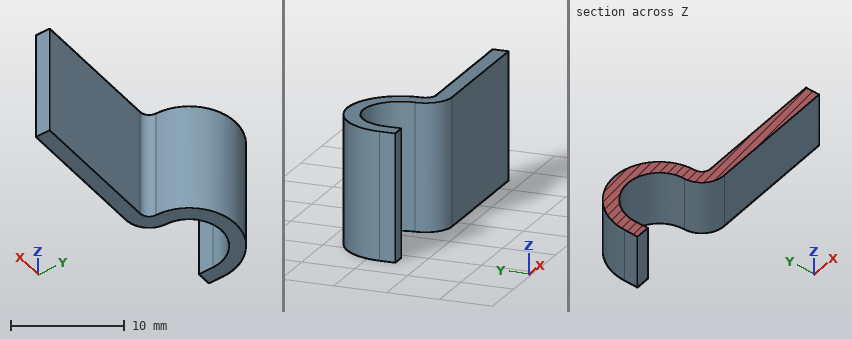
import cadquery as cq
import math

thickness = 1.5
width = 12.0
loop_inner = 3.5
bend_inner = 1.0
lip_length = 1.5
flange_length = 13.5

loop_outer = loop_inner + thickness
bend_outer = bend_inner + thickness
bend_center_x = loop_outer + bend_inner
flange_end_x = bend_center_x + flange_length


def bend_midpoint(radius):
    """Middle point of the quarter bend, which curves around (bend_center_x, 0)."""
    offset = radius * math.sqrt(0.5)
    return (bend_center_x - offset, -offset)


def make_clip():
    """Bent strip: lip, half-round loop, reverse bend and flat flange."""
    profile = (
        cq.Workplane("XY")
        .moveTo(-loop_outer, -lip_length)
        .lineTo(-loop_outer, 0)
        .threePointArc((0, loop_outer), (loop_outer, 0))
        .threePointArc(bend_midpoint(bend_inner), (bend_center_x, -bend_inner))
        .lineTo(flange_end_x, -bend_inner)
        .lineTo(flange_end_x, -bend_outer)
        .lineTo(bend_center_x, -bend_outer)
        .threePointArc(bend_midpoint(bend_outer), (loop_inner, 0))
        .threePointArc((0, loop_inner), (-loop_inner, 0))
        .lineTo(-loop_inner, -lip_length)
        .close()
    )
    return profile.extrude(width)


result = make_clip()